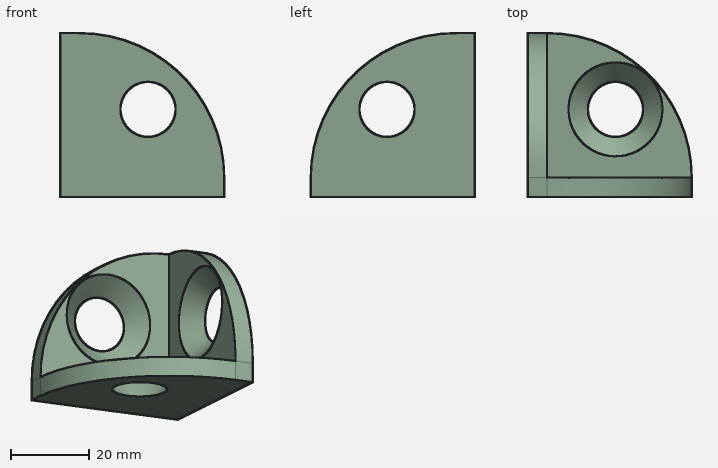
import cadquery as cq

side = 42.0
thickness = 5.0
hole_offset = 22.45
hole_diameter = 14.03
countersink_diameter = 24.02

corner_radius = side - thickness

floor_plane = cq.Plane(origin=(0, 0, 0), xDir=(1, 0, 0), normal=(0, 0, 1))
front_plane = cq.Plane(origin=(0, 0, 0), xDir=(0, 0, 1), normal=(0, 1, 0))
left_plane = cq.Plane(origin=(0, 0, 0), xDir=(0, 1, 0), normal=(1, 0, 0))


def make_plate(plane):
    """Square plate whose free corner is rounded about the inner edge corner."""
    return (
        cq.Workplane(plane)
        .lineTo(side, 0)
        .lineTo(side, thickness)
        .radiusArc((thickness, side), -corner_radius)
        .lineTo(0, side)
        .close()
        .extrude(thickness)
    )


def make_countersink(plane):
    """Conical hole through a plate, widening toward the inside."""
    return (
        cq.Workplane(plane)
        .center(hole_offset, hole_offset)
        .circle(hole_diameter / 2)
        .workplane(offset=thickness)
        .circle(countersink_diameter / 2)
        .loft(ruled=True)
    )


planes = (floor_plane, front_plane, left_plane)

result = make_plate(floor_plane)
for plane in planes[1:]:
    result = result.union(make_plate(plane))

for plane in planes:
    result = result.cut(make_countersink(plane))